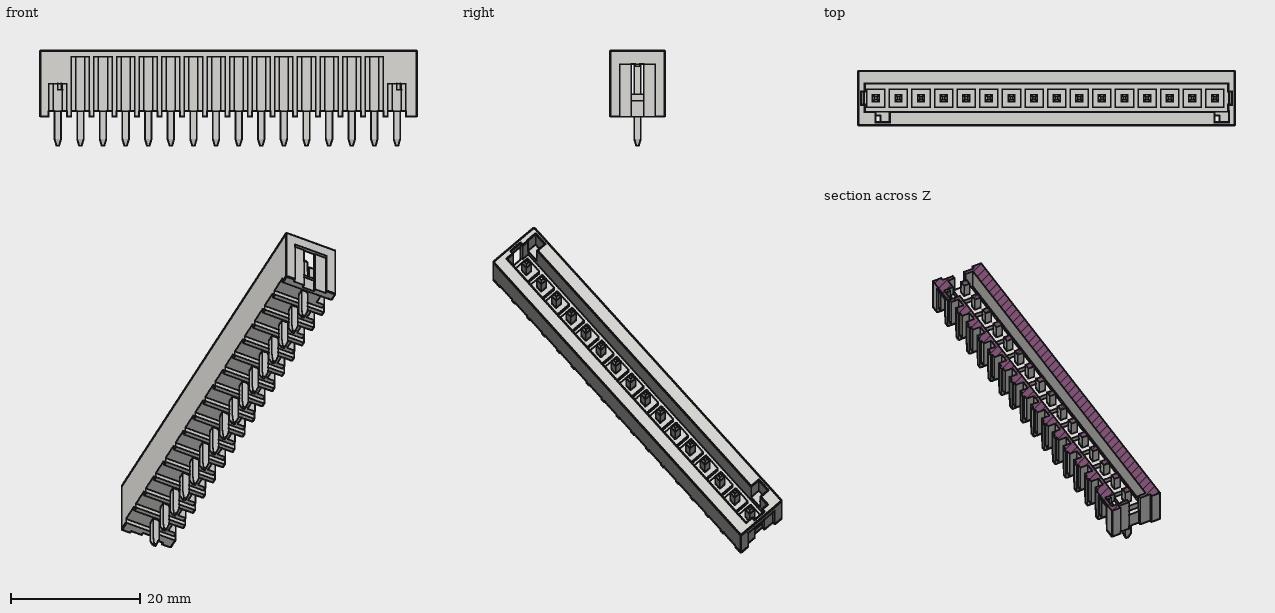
import cadquery as cq

LENGTH = 58.4
DEPTH = 8.5
HEIGHT = 10.3
EDGE_BREAK = 0.1

PIN_COUNT = 16
PIN_SPAN = 52.5
PIN_PITCH = PIN_SPAN / (PIN_COUNT - 1)
PIN_ROW_SHIFT = -0.2
PIN_WIDTH = 1.05
PIN_TIP_WIDTH = 0.4
PIN_BOTTOM_TAPER = 1.05
PIN_TOP_TAPER = 0.7
PIN_BOTTOM = -4.5
PIN_TOP = HEIGHT - 1.75
PIN_XS = [PIN_ROW_SHIFT - PIN_SPAN / 2 + i * PIN_PITCH for i in range(PIN_COUNT)]
END_PIN_XS = [PIN_XS[0], PIN_XS[-1]]

END_WALL = 1.1
FRONT_WALL = 2.15
BACK_WALL = 2.05
FLOOR_TOP = 2.45
CAVITY_FRONT = -DEPTH / 2 + FRONT_WALL
CAVITY_BACK = DEPTH / 2 - BACK_WALL

PAD_SIZE = 2.8
PAD_TOP = 3.5

NOTCH_WIDTH = 2.1
NOTCH_DEPTH = 1.6
NOTCH_BOTTOM = 4.2

SLOT_STEP_DEPTH = 0.3
SLOT_CORE_WIDTH = 1.4
SLOT_CORE_DEPTH = 1.6
SLOT_TOP = HEIGHT - 1.0
END_SLOT_TOP = HEIGHT - 5.15
FOOT_HEIGHT = 0.9

RECESS_WIDTH = 5.5
RECESS_DEPTH = 0.45
RECESS_TOP = HEIGHT - 2.1
WINDOW_WIDTH = 1.9
WINDOW_DEPTH = 0.95
CHANNEL_SKIN = 0.6


def block(x_range, y_range, z_range):
    """Box between the given pairs of limits."""
    (x0, x1), (y0, y1), (z0, z1) = x_range, y_range, z_range
    return cq.Workplane("XY").box(x1 - x0, y1 - y0, z1 - z0, centered=False).translate((x0, y0, z0))


def around(centre, width):
    """Pair of limits set evenly about a centre."""
    return centre - width / 2, centre + width / 2


def cut_both_ends(body, cutter):
    """Remove a cutter at the -X end and its mirror image at the +X end."""
    return body.cut(cutter).cut(cutter.mirror("YZ"))


def make_shell():
    """Block with the cavity, latch channels and notches open at the top."""
    shell = block(around(0, LENGTH), around(0, DEPTH), (0, HEIGHT))
    shell = shell.edges("|Z or <Z").chamfer(EDGE_BREAK)
    cavity = block(around(0, LENGTH - 2 * END_WALL), (CAVITY_FRONT, CAVITY_BACK), (FLOOR_TOP, HEIGHT))
    shell = shell.cut(cavity)
    channel = block((-LENGTH / 2 + CHANNEL_SKIN, -LENGTH / 2 + END_WALL),
                    around(0, WINDOW_WIDTH), (FLOOR_TOP, HEIGHT))
    shell = cut_both_ends(shell, channel)
    notch_front = CAVITY_FRONT - NOTCH_DEPTH
    for x in END_PIN_XS:
        notch = block((x, x + NOTCH_WIDTH), (notch_front, CAVITY_FRONT), (NOTCH_BOTTOM, HEIGHT))
        shell = shell.cut(notch)
    return shell.faces(">Z").edges().chamfer(EDGE_BREAK)


def cut_latch_recesses(body):
    """Wide shallow recess with a deeper central groove that opens into the channel."""
    end = -LENGTH / 2
    recess = block((end, end + RECESS_DEPTH), around(0, RECESS_WIDTH), (0, RECESS_TOP))
    groove = block((end, end + WINDOW_DEPTH), around(0, WINDOW_WIDTH), (0, RECESS_TOP))
    return cut_both_ends(body, recess.union(groove))


def row(shape, xs):
    """Copies of a shape, modelled at X = 0, at each X position."""
    solid = shape.val()
    return cq.Workplane("XY").pushPoints([(x, 0) for x in xs]).eachpoint(lambda place: solid.moved(place))


def cut_front_slots(body, xs, slot_top):
    """Slots up the front face, each with a shallow step and a deeper core."""
    front = -DEPTH / 2
    step = block(around(0, PAD_SIZE), (front, front + SLOT_STEP_DEPTH), (0, slot_top))
    core = block(around(0, SLOT_CORE_WIDTH), (front, front + SLOT_CORE_DEPTH), (0, slot_top))
    return body.cut(row(step.union(core), xs))


def cut_foot_gaps(body):
    """Gaps across the underside that leave feet between the pins."""
    gap = block(around(0, PAD_SIZE), around(0, DEPTH), (0, FOOT_HEIGHT))
    return body.cut(row(gap, PIN_XS))


def make_pin_tip(z, length):
    """Tapered end of a pin; a negative length points downwards."""
    return (
        cq.Workplane("XY", origin=(0, 0, z))
        .rect(PIN_WIDTH, PIN_WIDTH)
        .workplane(offset=length)
        .rect(PIN_TIP_WIDTH, PIN_TIP_WIDTH)
        .loft()
    )


def make_pin():
    """Square pin, tapered at both ends, standing in its floor pad."""
    shaft_bottom = PIN_BOTTOM + PIN_BOTTOM_TAPER
    shaft_top = PIN_TOP - PIN_TOP_TAPER
    shaft = block(around(0, PIN_WIDTH), around(0, PIN_WIDTH), (shaft_bottom, shaft_top))
    pad = block(around(0, PAD_SIZE), around(0, PAD_SIZE), (FLOOR_TOP, PAD_TOP))
    tips = make_pin_tip(shaft_bottom, -PIN_BOTTOM_TAPER).union(make_pin_tip(shaft_top, PIN_TOP_TAPER))
    return shaft.union(tips).union(pad)


housing = cut_latch_recesses(make_shell())
housing = cut_front_slots(housing, PIN_XS[1:-1], SLOT_TOP)
housing = cut_front_slots(housing, END_PIN_XS, END_SLOT_TOP)
housing = cut_foot_gaps(housing)
result = housing.union(row(make_pin(), PIN_XS)).solids()